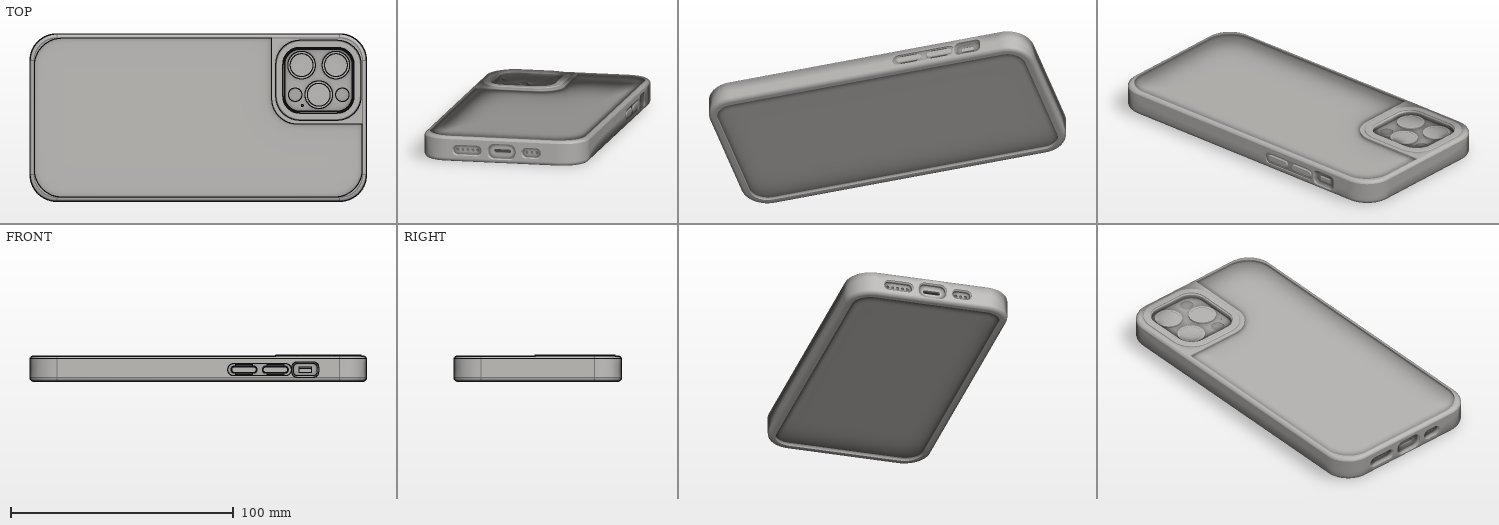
import cadquery as cq

PILL_ROUNDING = 0.49

CASE_LENGTH = 151.0
CASE_WIDTH = 75.2
CASE_CORNER = 12.1
TOTAL_HEIGHT = 12.0
RING_RISE = 0.53
BACK_Z = TOTAL_HEIGHT - RING_RISE
BOTTOM_ROUND = 1.8
CROWN_DROP = 1.2
CROWN_INSET = 1.8
CROWN_RADIUS = (CROWN_DROP**2 + CROWN_INSET**2) / (2 * CROWN_DROP)

PHONE_LENGTH = 146.7
PHONE_WIDTH = 71.5
PHONE_CORNER = 10.0
PHONE_THICKNESS = 7.4
MID_Z = 5.3
PHONE_BOTTOM = MID_Z - PHONE_THICKNESS / 2
PHONE_BACK = MID_Z + PHONE_THICKNESS / 2
LIP_WIDTH = 1.5

RECESS_LENGTH = 147.1
RECESS_WIDTH = 71.3
RECESS_CORNER = 12.4
RECESS_DEPTH = 1.0
PLATEAU_LEFT = 33.0
PLATEAU_FRONT = -2.9
PLATEAU_CORNER = 11.5

RING_X = 54.0
RING_Y = 16.8
RING_LENGTH = 38.4
RING_WIDTH = 36.0
RING_CORNER = 10.9
RING_BAND = 3.6
RING_ROUND = 0.38
WINDOW_CHAMFER = 0.5

CAMERA_BUMP_RISE = 0.5
CAMERA_BUMP_GAP = 0.5
LENS_PITCH = 15.4
LENS_CENTRE_X = 54.1
LENS_BACK_Y = 23.5
LENS_FRONT_Y = 10.3
LENS_RADIUS = 6.2
LENS_RISE = 0.9
GLASS_RADIUS = 5.1
GLASS_SINK = 0.2
SENSOR_OFFSET = 10.5
SENSOR_RADIUS = 3.0
SENSOR_SINK = 0.3
MIC_X = 46.7
MIC_Y = 5.5
MIC_RADIUS = 0.5
MIC_DEPTH = 0.8

SOUND_HOLE_PITCH = 2.3
SOUND_HOLE_RADIUS = 0.8
SOUND_HOLE_DEPTH = 0.8
SPEAKER_Y = 15.9
SPEAKER_HOLES = 5
MICROPHONE_Y = -13.6
MICROPHONE_HOLES = 3
SOUND_SLOT_HEIGHT = 5.0
SOUND_SLOT_MARGIN = 4.7
PORT_OPENING = (13.3, 7.3)
PORT_OPENING_CORNER = 3.2
PORT_SOCKET = (7.9, 1.8)
PORT_SOCKET_DEPTH = 3.0
END_CHAMFER = 0.5

PAD_X = 27.5
PAD_LENGTH = 28.5
PAD_HEIGHT = 5.5
PAD_DEPTH = 0.6
BUTTON_X = (20.5, 34.6)
BUTTON_LENGTH = 11.6
BUTTON_HEIGHT = 3.2
BUTTON_CHAMFER = 0.3
BUTTON_WINDOW_LENGTH = 7.5
BUTTON_WINDOW_HEIGHT = 4.5
SWITCH_X = 48.0
SWITCH_OPENING = (12.1, 7.0)
SWITCH_CORNER = 2.4
SWITCH_CHAMFER = 0.8
SWITCH_SLOT = (5.5, 2.5)
SWITCH_SLOT_DEPTH = 0.5
SLIDER_HEIGHT = 1.8
SLIDER_RISE = 0.8

WINDOW_LENGTH = RING_LENGTH - 2 * RING_BAND
WINDOW_WIDTH = RING_WIDTH - 2 * RING_BAND
WINDOW_CORNER = RING_CORNER - RING_BAND
CAMERA_FLOOR = PHONE_BACK + CAMERA_BUMP_RISE
CASE_END_X = -CASE_LENGTH / 2
PHONE_END_X = -PHONE_LENGTH / 2
CASE_SIDE_Y = -CASE_WIDTH / 2
PHONE_SIDE_Y = -PHONE_WIDTH / 2
PAD_FLOOR_Y = CASE_SIDE_Y + PAD_DEPTH


def slab(length, width, corner, bottom, top, x=0, y=0):
    """Flat block with rounded vertical edges."""
    block = cq.Workplane("XY", origin=(x, y, bottom)).rect(length, width).extrude(top - bottom)
    return block.edges("|Z").fillet(corner)


def side_block(x, length, height, corner, outer_y, inner_y):
    """Block at mid-height running inward from the -Y side, with rounded edges along Y."""
    plane = cq.Workplane("XZ", origin=(x, inner_y, MID_Z))
    block = plane.rect(length, height).extrude(inner_y - outer_y)
    return block.edges("|Y").fillet(corner) if corner else block


def end_block(y, length, height, corner, outer_x, inner_x):
    """Block at mid-height running inward from the -X end, with rounded edges along X."""
    block = cq.Workplane("YZ", origin=(outer_x, y, MID_Z)).rect(length, height).extrude(inner_x - outer_x)
    return block.edges("|X").fillet(corner)


def pill_corner(height):
    """Corner radius that makes an end of this height all but a full half circle."""
    return PILL_ROUNDING * height


def hole_offsets(count):
    """Places of a centred row of sound holes."""
    return [(i - (count - 1) / 2) * SOUND_HOLE_PITCH for i in range(count)]


def case_shell():
    body = slab(CASE_LENGTH, CASE_WIDTH, CASE_CORNER, 0, BACK_Z)
    body = body.faces("<Z").edges().fillet(BOTTOM_ROUND)
    growth = CROWN_RADIUS - CROWN_INSET
    crown = slab(CASE_LENGTH + 2 * growth, CASE_WIDTH + 2 * growth, CASE_CORNER + growth, 0, BACK_Z)
    return body.intersect(crown.faces(">Z").edges().fillet(CROWN_RADIUS))


def camera_plateau():
    length = CASE_LENGTH / 2 - PLATEAU_LEFT
    width = CASE_WIDTH / 2 - PLATEAU_FRONT
    block = cq.Workplane("XY", origin=(PLATEAU_LEFT, PLATEAU_FRONT, 0))
    block = block.rect(length, width, centered=False).extrude(BACK_Z)
    return block.edges("|Z and <X and <Y").fillet(PLATEAU_CORNER)


def back_recess():
    floor = BACK_Z - RECESS_DEPTH
    return slab(RECESS_LENGTH, RECESS_WIDTH, RECESS_CORNER, floor, BACK_Z).cut(camera_plateau())


def camera_ring():
    ring = slab(RING_LENGTH, RING_WIDTH, RING_CORNER, PHONE_BACK, TOTAL_HEIGHT, RING_X, RING_Y)
    return ring.faces(">Z").edges().fillet(RING_ROUND)


def camera_window():
    """Opening through the ring, widened by a chamfer at its mouth."""
    window = slab(WINDOW_LENGTH, WINDOW_WIDTH, WINDOW_CORNER, PHONE_BACK, TOTAL_HEIGHT, RING_X, RING_Y)
    flare = WINDOW_CHAMFER
    mouth = slab(
        WINDOW_LENGTH + 2 * flare, WINDOW_WIDTH + 2 * flare, WINDOW_CORNER + flare,
        TOTAL_HEIGHT - 2 * flare, TOTAL_HEIGHT, RING_X, RING_Y,
    )
    return window.union(mouth.faces("<Z").edges().chamfer(flare))


def phone_cavity():
    cavity = slab(PHONE_LENGTH, PHONE_WIDTH, PHONE_CORNER, PHONE_BOTTOM, PHONE_BACK)
    opening_length = PHONE_LENGTH - 2 * LIP_WIDTH
    opening_width = PHONE_WIDTH - 2 * LIP_WIDTH
    screen_opening = slab(opening_length, opening_width, PHONE_CORNER - LIP_WIDTH, 0, PHONE_BOTTOM)
    return cavity.union(screen_opening)


def flared_end_opening(y, length, height, corner):
    """Opening through the -X wall, narrowed by a chamfer behind its mouth."""
    flare = END_CHAMFER
    hole = end_block(
        y, length - 2 * flare, height - 2 * flare, corner - flare, CASE_END_X, PHONE_END_X
    )
    mouth = end_block(y, length, height, corner, CASE_END_X, CASE_END_X + 2 * flare)
    return hole.union(mouth.faces(">X").edges().chamfer(flare))


def sound_slot(y, hole_count):
    length = (hole_count - 1) * SOUND_HOLE_PITCH + SOUND_SLOT_MARGIN
    return flared_end_opening(y, length, SOUND_SLOT_HEIGHT, pill_corner(SOUND_SLOT_HEIGHT))


def switch_opening():
    """Opening through the -Y wall, narrowed by a chamfer where it reaches the phone."""
    length, height = SWITCH_OPENING
    opening = side_block(SWITCH_X, length, height, SWITCH_CORNER, CASE_SIDE_Y, PHONE_SIDE_Y)
    return opening.faces(">Y").edges().chamfer(SWITCH_CHAMFER)


def button_pad():
    return side_block(
        PAD_X, PAD_LENGTH, PAD_HEIGHT, pill_corner(PAD_HEIGHT), CASE_SIDE_Y, PAD_FLOOR_Y
    )


def button_window(x):
    return side_block(
        x, BUTTON_WINDOW_LENGTH, BUTTON_WINDOW_HEIGHT, 0, PAD_FLOOR_Y, PHONE_SIDE_Y
    )


def make_case():
    case = case_shell().cut(back_recess()).union(camera_ring())
    case = case.cut(camera_window()).cut(phone_cavity())
    case = case.cut(sound_slot(SPEAKER_Y, SPEAKER_HOLES))
    case = case.cut(sound_slot(MICROPHONE_Y, MICROPHONE_HOLES))
    case = case.cut(flared_end_opening(0, *PORT_OPENING, PORT_OPENING_CORNER))
    case = case.cut(switch_opening()).cut(button_pad())
    for x in BUTTON_X:
        case = case.cut(button_window(x))
    return case


def back_disc(x, y, radius, bottom, top):
    return cq.Workplane("XY", origin=(x, y, bottom)).circle(radius).extrude(top - bottom)


def camera_bump():
    gap = CAMERA_BUMP_GAP
    return slab(
        WINDOW_LENGTH - 2 * gap, WINDOW_WIDTH - 2 * gap, WINDOW_CORNER - gap,
        PHONE_BACK, CAMERA_FLOOR, RING_X, RING_Y,
    )


def add_cameras(phone):
    phone = phone.union(camera_bump())
    lens_top = CAMERA_FLOOR + LENS_RISE
    lens_places = [
        (LENS_CENTRE_X - LENS_PITCH / 2, LENS_BACK_Y),
        (LENS_CENTRE_X + LENS_PITCH / 2, LENS_BACK_Y),
        (LENS_CENTRE_X, LENS_FRONT_Y),
    ]
    for x, y in lens_places:
        phone = phone.union(back_disc(x, y, LENS_RADIUS, CAMERA_FLOOR, lens_top))
        phone = phone.cut(back_disc(x, y, GLASS_RADIUS, lens_top - GLASS_SINK, lens_top))
    for x in (LENS_CENTRE_X - SENSOR_OFFSET, LENS_CENTRE_X + SENSOR_OFFSET):
        phone = phone.cut(back_disc(x, LENS_FRONT_Y, SENSOR_RADIUS, CAMERA_FLOOR - SENSOR_SINK, CAMERA_FLOOR))
    return phone.cut(back_disc(MIC_X, MIC_Y, MIC_RADIUS, CAMERA_FLOOR - MIC_DEPTH, CAMERA_FLOOR))


def cut_end_ports(phone):
    length, height = PORT_SOCKET
    socket_end = PHONE_END_X + PORT_SOCKET_DEPTH
    phone = phone.cut(end_block(0, length, height, pill_corner(height), PHONE_END_X, socket_end))
    for centre, count in ((SPEAKER_Y, SPEAKER_HOLES), (MICROPHONE_Y, MICROPHONE_HOLES)):
        holes = cq.Workplane("YZ", origin=(PHONE_END_X, centre, MID_Z))
        holes = holes.pushPoints([(offset, 0) for offset in hole_offsets(count)])
        phone = phone.cut(holes.circle(SOUND_HOLE_RADIUS).extrude(SOUND_HOLE_DEPTH))
    return phone


def add_mute_switch(phone):
    length, height = SWITCH_SLOT
    slot_floor = PHONE_SIDE_Y + SWITCH_SLOT_DEPTH
    phone = phone.cut(side_block(SWITCH_X, length, height, 0, PHONE_SIDE_Y, slot_floor))
    slider = side_block(SWITCH_X, length, SLIDER_HEIGHT, 0, PHONE_SIDE_Y - SLIDER_RISE, slot_floor)
    return phone.union(slider.translate((0, 0, (SLIDER_HEIGHT - height) / 2)))


def make_phone():
    phone = slab(PHONE_LENGTH, PHONE_WIDTH, PHONE_CORNER, PHONE_BOTTOM, PHONE_BACK)
    return add_mute_switch(cut_end_ports(add_cameras(phone)))


def make_volume_button(x):
    """Pill-shaped cap lying on the pad, with a stem through the window to the phone."""
    cap = side_block(
        x, BUTTON_LENGTH, BUTTON_HEIGHT, pill_corner(BUTTON_HEIGHT), CASE_SIDE_Y, PAD_FLOOR_Y
    )
    cap = cap.faces("<Y").edges().chamfer(BUTTON_CHAMFER)
    stem = side_block(x, BUTTON_WINDOW_LENGTH, BUTTON_HEIGHT, 0, PAD_FLOOR_Y, PHONE_SIDE_Y)
    return cap.union(stem)


case = make_case()
phone = make_phone()
volume_buttons = [make_volume_button(x) for x in BUTTON_X]

result = cq.Compound.makeCompound(
    [case.val(), phone.val(), *[button.val() for button in volume_buttons]]
)